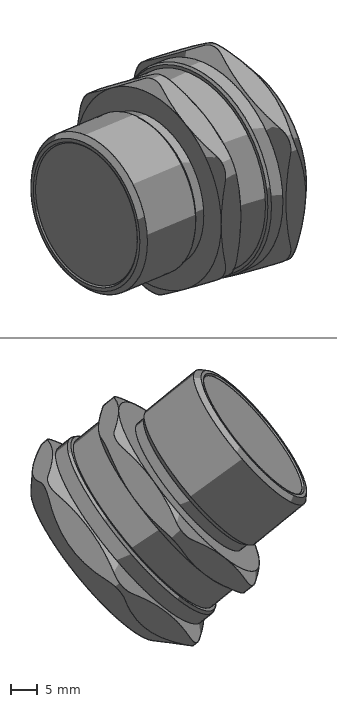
import cadquery as cq
import math


thread_diameter = 32.0
neck_diameter = 30.4
spigot_length = 16.0
neck_length = 2.0
thread_tip_chamfer = 1.0
thread_root_chamfer = (thread_diameter - neck_diameter) / 2

recess_mouth_diameter = 28.6
recess_floor_diameter = 28.0
recess_depth = 0.3

body_hex_width = 40.0
body_hex_length = 5.0
body_diameter = 40.0
body_length = 6.2

collar_diameter = 42.0
collar_length = 3.5
collar_chamfer_length = 0.6
collar_chamfer_angle = 30.0
collar_chamfer_depth = collar_chamfer_length * math.tan(math.radians(collar_chamfer_angle))

cap_hex_width = 43.0
cap_length = 8.3
cap_front_diameter = 42.0
cap_back_diameter = 37.0
cap_back_angle = 45.0

hex_corner_radius = 5.0
hex_bevel_angle = 30.0

spigot_tip = -spigot_length
body_start = body_hex_length
collar_start = body_start + body_length
cap_start = collar_start + collar_length
cap_end = cap_start + cap_length


def revolve_about_y(profile_points):
    """Revolve (radius, y) points about the Y axis."""
    return cq.Workplane("XY").polyline(profile_points).close().revolve(360, (0, 0, 0), (0, 1, 0))


def rounded_hexagon(width, start, end):
    """Hexagonal prism along Y, flats facing +X and -X, with rounded corners."""
    corner_diameter = width / math.cos(math.radians(30))
    return (
        cq.Workplane("XZ", origin=(0, end, 0))
        .transformed(rotate=(0, 0, 90))
        .polygon(6, corner_diameter)
        .extrude(end - start)
        .edges("|Y")
        .fillet(hex_corner_radius)
    )


def bevel_envelope(width, start, end, start_diameter, end_diameter, start_angle, end_angle):
    """Double cone that bevels the corners at both ends of a hexagon."""
    outer_radius = width / math.sqrt(3)
    start_rise = outer_radius - start_diameter / 2
    end_rise = outer_radius - end_diameter / 2
    return revolve_about_y([
        (0, start),
        (start_diameter / 2, start),
        (outer_radius, start + start_rise * math.tan(math.radians(start_angle))),
        (outer_radius, end - end_rise * math.tan(math.radians(end_angle))),
        (end_diameter / 2, end),
        (0, end),
    ])


def make_spigot():
    thread_radius = thread_diameter / 2
    neck_radius = neck_diameter / 2
    return revolve_about_y([
        (0, spigot_tip + recess_depth),
        (recess_floor_diameter / 2, spigot_tip + recess_depth),
        (recess_mouth_diameter / 2, spigot_tip),
        (thread_radius - thread_tip_chamfer, spigot_tip),
        (thread_radius, spigot_tip + thread_tip_chamfer),
        (thread_radius, -neck_length - thread_root_chamfer),
        (neck_radius, -neck_length),
        (neck_radius, 0),
        (0, 0),
    ])


def make_body_hexagon():
    hexagon = rounded_hexagon(body_hex_width, 0, body_start)
    envelope = bevel_envelope(
        body_hex_width, 0, body_start,
        body_hex_width, body_hex_width,
        hex_bevel_angle, hex_bevel_angle,
    )
    return hexagon.intersect(envelope)


def make_body_and_collar():
    body_radius = body_diameter / 2
    collar_radius = collar_diameter / 2
    return revolve_about_y([
        (0, body_start),
        (body_radius, body_start),
        (body_radius, collar_start),
        (collar_radius - collar_chamfer_depth, collar_start),
        (collar_radius, collar_start + collar_chamfer_length),
        (collar_radius, cap_start),
        (0, cap_start),
    ])


def make_cap_nut():
    hexagon = rounded_hexagon(cap_hex_width, cap_start, cap_end)
    envelope = bevel_envelope(
        cap_hex_width, cap_start, cap_end,
        cap_front_diameter, cap_back_diameter,
        hex_bevel_angle, cap_back_angle,
    )
    return hexagon.intersect(envelope)


result = (
    make_spigot()
    .union(make_body_hexagon())
    .union(make_body_and_collar())
    .union(make_cap_nut())
)